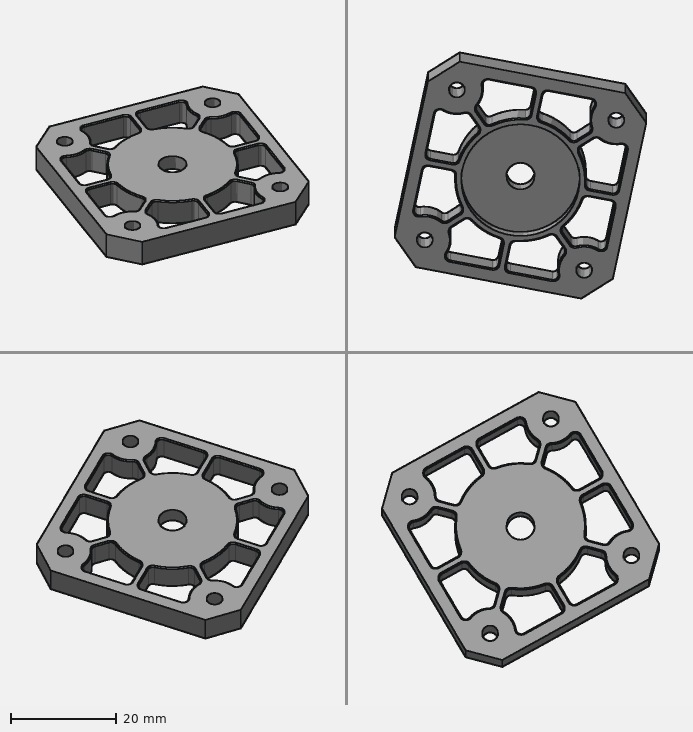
import cadquery as cq
import math

side = 42.3
thickness = 5.25
corner_cut = 5.1

shaft_diameter = 5.35
screw_diameter = 3.0
screw_spacing = 30.9
recess_diameter = 22.5
recess_depth = 2.25

frame_width = 2.6
rib_width = 1.52
hub_diameter = 24.9
boss_diameter = 10.0

pocket_corner_radius = 0.97
pocket_chamfer = 0.25

screw_offset = screw_spacing / 2


def cylinder(diameter, height, x=0, y=0):
    return cq.Workplane("XY").center(x, y).circle(diameter / 2).extrude(height)


def make_pocket():
    """Pocket between the +Y rib, the (+X, +Y) diagonal rib, the frame, the hub and a screw boss."""
    frame_edge = side / 2 - frame_width
    rib_edge = rib_width / 2
    diagonal_shift = rib_edge * math.sqrt(2)
    return (
        cq.Workplane("XY")
        .moveTo(rib_edge, rib_edge + diagonal_shift)
        .lineTo(rib_edge, frame_edge)
        .lineTo(frame_edge - diagonal_shift, frame_edge)
        .close()
        .extrude(thickness)
        .cut(cylinder(hub_diameter, thickness))
        .cut(cylinder(boss_diameter, thickness, screw_offset, screw_offset))
        .edges("|Z")
        .fillet(pocket_corner_radius)
    )


def chamfer_openings(body):
    """Chamfer the rims of every opening in the top and bottom faces."""
    rim_edges = [
        edge
        for face in body.faces("|Z").vals()
        for wire in face.innerWires()
        for edge in wire.Edges()
    ]
    return body.newObject([body.val().chamfer(pocket_chamfer, None, rim_edges)])


plate = cq.Workplane("XY").rect(side, side).extrude(thickness)
plate = plate.edges("|Z").chamfer(corner_cut)

pocket = make_pocket()
mirrored_pocket = pocket.mirror("YZ")
for quarter in range(4):
    for cutter in (pocket, mirrored_pocket):
        plate = plate.cut(cutter.rotate((0, 0, 0), (0, 0, 1), 90 * quarter))
plate = chamfer_openings(plate)

plate = plate.cut(cylinder(shaft_diameter, thickness))
plate = plate.cut(cylinder(recess_diameter, recess_depth))

for x in (-screw_offset, screw_offset):
    for y in (-screw_offset, screw_offset):
        plate = plate.cut(cylinder(screw_diameter, thickness, x, y))

result = plate